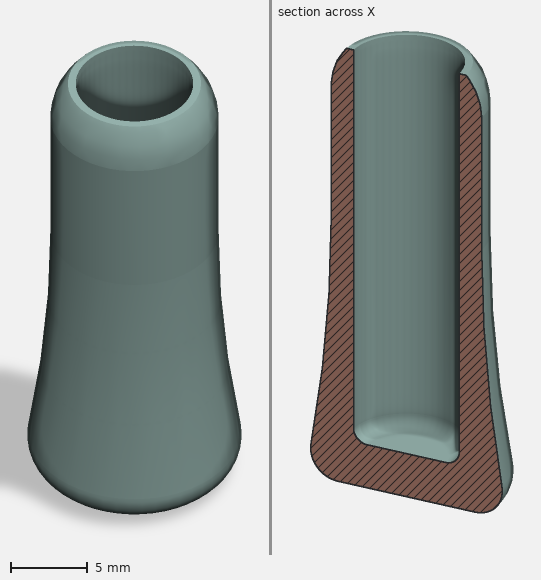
import cadquery as cq
import math

total_height = 32.0
flare_top = 19.42
neck_top = 29.15

base_radius = 7.0
base_rounding = 2.0
neck_radius = 5.5
lip_radius = 4.35

bore_radius = 3.85
bore_floor = 3.2
floor_fillet = 0.95

foot_radius = base_radius - base_rounding

flare_drop = flare_top - base_rounding
foot_inset = neck_radius - foot_radius
flare_arc_radius = (flare_drop**2 + foot_inset**2 - base_rounding**2) / (2 * (base_rounding - foot_inset))
flare_angle = math.asin(flare_drop / (flare_arc_radius + base_rounding))

lip_rise = total_height - neck_top
lip_inset = neck_radius - lip_radius
lip_arc_radius = (lip_rise**2 + lip_inset**2) / (2 * lip_inset)
lip_angle = math.asin(lip_rise / lip_arc_radius)


def arc_point(center, radius, angle):
    """Point on a circle, with the angle measured from the outward radial direction."""
    return (center[0] + radius * math.cos(angle), center[1] + radius * math.sin(angle))


def make_body():
    """Revolved outer shape: rounded base, concave flare, straight neck and rounded lip."""
    base_center = (foot_radius, base_rounding)
    flare_center = (neck_radius + flare_arc_radius, flare_top)
    lip_center = (neck_radius - lip_arc_radius, neck_top)

    base_middle = arc_point(base_center, base_rounding, -math.pi / 4)
    base_end = arc_point(base_center, base_rounding, flare_angle)
    flare_middle = arc_point(flare_center, flare_arc_radius, math.pi + flare_angle / 2)
    lip_middle = arc_point(lip_center, lip_arc_radius, lip_angle / 2)

    return (
        cq.Workplane("XZ")
        .lineTo(foot_radius, 0)
        .threePointArc(base_middle, base_end)
        .threePointArc(flare_middle, (neck_radius, flare_top))
        .lineTo(neck_radius, neck_top)
        .threePointArc(lip_middle, (lip_radius, total_height))
        .lineTo(0, total_height)
        .close()
        .revolve(360, (0, 0, 0), (0, 1, 0))
    )


def make_bore():
    """Blind bore with a rounded edge around its floor."""
    return (
        cq.Workplane("XY")
        .workplane(offset=bore_floor)
        .circle(bore_radius)
        .extrude(total_height - bore_floor)
        .faces("<Z")
        .edges()
        .fillet(floor_fillet)
    )


result = make_body().cut(make_bore())